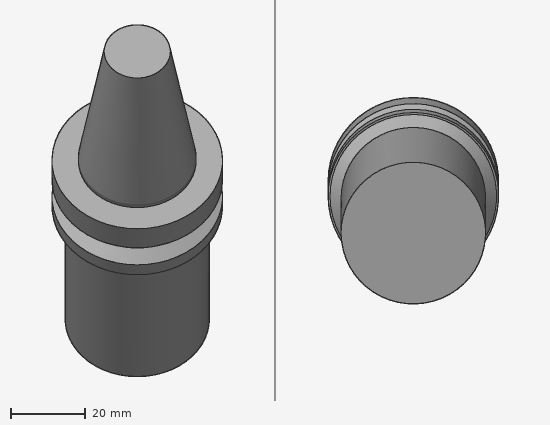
import cadquery as cq

total_length = 121.4

body_diameter = 39.0
flange_diameter = 46.0
groove_diameter = 38.0
taper_large_diameter = 31.8
taper_small_diameter = 17.8

body_top = 48.2
lower_rim_bottom = 51.1
lower_rim_top = 55.6
groove_bottom = 57.8
groove_top = 61.2
upper_rim_bottom = 63.4
flange_top = 72.0
taper_bottom = 73.1

chamfer_large_diameter = 44.9

body_radius = body_diameter / 2
flange_radius = flange_diameter / 2
groove_radius = groove_diameter / 2
taper_large_radius = taper_large_diameter / 2
taper_small_radius = taper_small_diameter / 2
chamfer_large_radius = chamfer_large_diameter / 2

half_profile = [
    (0, 0),
    (body_radius, 0),
    (body_radius, body_top),
    (chamfer_large_radius, lower_rim_bottom),
    (flange_radius, lower_rim_bottom),
    (flange_radius, lower_rim_top),
    (groove_radius, groove_bottom),
    (groove_radius, groove_top),
    (flange_radius, upper_rim_bottom),
    (flange_radius, flange_top),
    (taper_large_radius, flange_top),
    (taper_large_radius, taper_bottom),
    (taper_small_radius, total_length),
    (0, total_length),
]

result = cq.Workplane("XZ").polyline(half_profile).close().revolve(360, (0, 0, 0), (0, 1, 0))